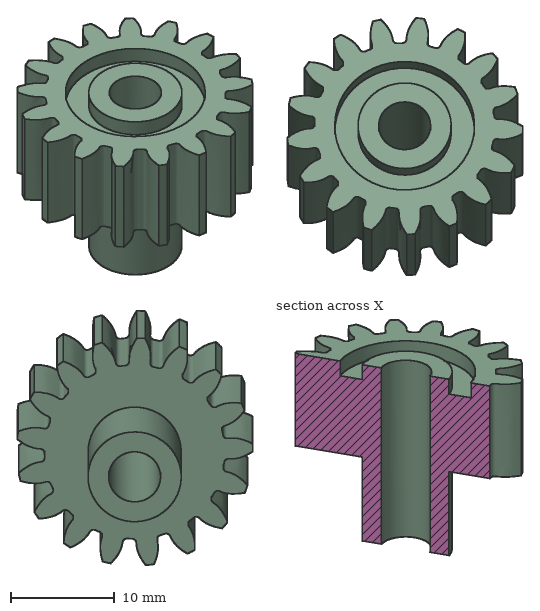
import cadquery as cq
import math


tooth_count = 17
tip_diameter = 22.8
pressure_angle = math.radians(20)
dedendum_factor = 1.25
root_fillet_radius = 0.4

total_height = 19.0
gear_height = 10.0
hub_diameter = 9.0
bore_diameter = 5.0
recess_diameter = 13.5
recess_depth = 1.6

first_tooth_angle = -math.pi / 2
flank_steps = 6

module = tip_diameter / (tooth_count + 2)
pitch_radius = module * tooth_count / 2
tip_radius = tip_diameter / 2
root_radius = pitch_radius - dedendum_factor * module
base_radius = pitch_radius * math.cos(pressure_angle)
tooth_pitch = 2 * math.pi / tooth_count


def polar(radius, angle):
    return (radius * math.cos(angle), radius * math.sin(angle))


def involute(angle):
    return math.tan(angle) - angle


def half_tooth_angle(radius):
    """Angle between the tooth centreline and its involute flank at this radius."""
    flank_angle = math.acos(min(1.0, base_radius / radius))
    return tooth_pitch / 4 + involute(pressure_angle) - involute(flank_angle)


base_half_width = base_radius * math.sin(half_tooth_angle(base_radius))
fillet_centre_radius = root_radius + root_fillet_radius
fillet_centre_angle = math.asin((base_half_width + root_fillet_radius) / fillet_centre_radius)
fillet_centre_x, fillet_centre_y = polar(fillet_centre_radius, fillet_centre_angle)

towards_flank = 3 * math.pi / 2
towards_axis = fillet_centre_angle + math.pi
towards_middle = (towards_flank + towards_axis) / 2


def fillet_point(direction):
    """Radius and angle from the tooth centreline of a point on the root fillet."""
    offset_x, offset_y = polar(root_fillet_radius, direction)
    x = fillet_centre_x + offset_x
    y = fillet_centre_y + offset_y
    return (math.hypot(x, y), math.atan2(y, x))


root_end = fillet_point(towards_axis)
fillet_middle = fillet_point(towards_middle)
flank_start = fillet_point(towards_flank)
involute_radii = [
    base_radius + (tip_radius - base_radius) * step / flank_steps
    for step in range(1, flank_steps + 1)
]
flank = [flank_start] + [(radius, half_tooth_angle(radius)) for radius in involute_radii]


def tooth_point(point, centreline, side):
    """Place a profile point on one side (-1 or 1) of the tooth at this angle."""
    radius, angle = point
    return polar(radius, centreline + side * angle)


def make_gear_outline():
    """Closed tooth outline, traced counterclockwise one tooth at a time."""
    outline = cq.Workplane("XY").moveTo(*polar(root_radius, first_tooth_angle - fillet_centre_angle))
    for tooth in range(tooth_count):
        centreline = first_tooth_angle + tooth * tooth_pitch
        rising_flank = [tooth_point(point, centreline, -1) for point in flank]
        falling_flank = [tooth_point(point, centreline, 1) for point in reversed(flank)]
        gap_middle = polar(root_radius, centreline + tooth_pitch / 2)
        next_tooth_start = polar(root_radius, centreline + tooth_pitch - fillet_centre_angle)
        outline = (
            outline
            .threePointArc(tooth_point(fillet_middle, centreline, -1), rising_flank[0])
            .spline(rising_flank[1:], includeCurrent=True)
            .threePointArc(polar(tip_radius, centreline), falling_flank[0])
            .spline(falling_flank[1:], includeCurrent=True)
            .threePointArc(tooth_point(fillet_middle, centreline, 1), tooth_point(root_end, centreline, 1))
            .threePointArc(gap_middle, next_tooth_start)
        )
    return outline.close()


def make_cylinder(diameter, bottom, height):
    return cq.Workplane("XY").workplane(offset=bottom).circle(diameter / 2).extrude(height)


gear = make_gear_outline().extrude(gear_height).translate((0, 0, total_height - gear_height))
recess = make_cylinder(recess_diameter, total_height - recess_depth, recess_depth)
hub = make_cylinder(hub_diameter, 0, total_height)
bore = make_cylinder(bore_diameter, 0, total_height)

result = gear.cut(recess).union(hub).cut(bore)